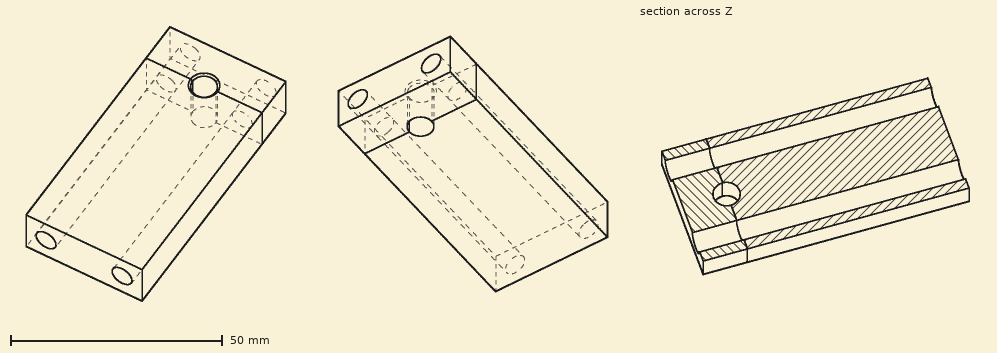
import cadquery as cq

width = 32.0
length = 66.1
thickness = 12.0

cap_length = 11.0
body_length = length - cap_length
front_y = -length / 2
split_y = front_y + body_length

clamp_diameter = 6.35
clamp_chamfer = 0.5

bolt_diameter = 5.5
bolt_spacing = 20.95


def block(start_y, block_length):
    """Full-width block that extends in +Y from start_y."""
    center_y = start_y + block_length / 2
    return cq.Workplane("XY", origin=(0, center_y, 0)).box(width, block_length, thickness)


def bolt_holes():
    """Two lengthwise cylinders that cut through both bodies."""
    centers = [(-bolt_spacing / 2, 0), (bolt_spacing / 2, 0)]
    return (
        cq.Workplane("XZ", origin=(0, front_y, 0))
        .pushPoints(centers)
        .circle(bolt_diameter / 2)
        .extrude(-length)
    )


def clamp_hole():
    """Vertical cylinder with a flared top that forms the chamfer."""
    radius = clamp_diameter / 2
    top_z = thickness / 2
    return (
        cq.Workplane("XZ", origin=(0, split_y, 0))
        .moveTo(0, -top_z)
        .lineTo(radius, -top_z)
        .lineTo(radius, top_z - clamp_chamfer)
        .lineTo(radius + clamp_chamfer, top_z)
        .lineTo(0, top_z)
        .close()
        .revolve(360, (0, 0), (0, 1))
    )


def drilled(blank):
    """Cut the shared holes out of one blank."""
    return blank.cut(bolt_holes()).cut(clamp_hole()).solids()


main_body = drilled(block(front_y, body_length))
end_cap = drilled(block(split_y, cap_length))

result = cq.Compound.makeCompound([main_body.val(), end_cap.val()])